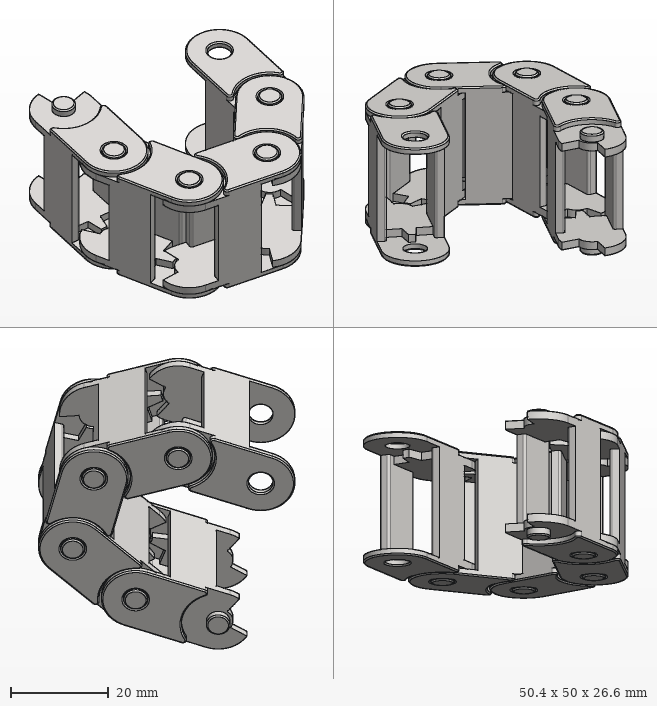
import cadquery as cq
import math


row_spacing = 36.0
pitch = row_spacing / 2
turn_angles = [36.87, 59.7, 59.43, 24.0]

clear_width = 20.0
inner_plate_thickness = 1.7
outer_plate_thickness = 1.3
pin_protrusion = 0.275
inner_plate_bottom = clear_width / 2
inner_plate_top = inner_plate_bottom + inner_plate_thickness
outer_plate_top = inner_plate_top + outer_plate_thickness
pin_top = outer_plate_top + pin_protrusion

end_radius = 7.0
edge_chamfer = 0.3
seat_clearance = 0.5
seat_radius = end_radius + seat_clearance
seat_tip_fillet = 0.75

pin_radius = 2.4
hole_clearance = 0.1
hole_radius = pin_radius + hole_clearance

tooth_half_angle = 12.0
max_turn = 60.0
notch_inner_radius = 3.0
tooth_inner_radius = 3.5
shoulder_clearance = 0.05
shoulder_distance = end_radius + shoulder_clearance

wall_length = 9.95
wall_thickness = 2.0
wall_pin_distance = 3.0
wall_fillet = 0.5


def polar(radius, angle):
    """Point at a radius and an angle in degrees around the origin."""
    return radius * math.cos(math.radians(angle)), radius * math.sin(math.radians(angle))


def ring_sector(inner_radius, outer_radius, start_angle, end_angle):
    """Inner-plate-high piece of a ring around the Z axis."""
    middle_angle = (start_angle + end_angle) / 2
    return (
        cq.Workplane("XY", origin=(0, 0, inner_plate_bottom))
        .moveTo(*polar(inner_radius, start_angle))
        .lineTo(*polar(outer_radius, start_angle))
        .threePointArc(polar(outer_radius, middle_angle), polar(outer_radius, end_angle))
        .lineTo(*polar(inner_radius, end_angle))
        .threePointArc(polar(inner_radius, middle_angle), polar(inner_radius, start_angle))
        .close()
        .extrude(inner_plate_thickness)
    )


def make_inner_plate():
    """Upper inner plate: round and notched at the pin, straight with a tooth at the hole."""
    base = cq.Workplane("XY", origin=(0, 0, inner_plate_bottom))
    straight_length = pitch - shoulder_distance
    plate = base.center(-straight_length / 2, 0).rect(straight_length, 2 * end_radius)
    plate = plate.extrude(inner_plate_thickness)
    plate = plate.union(base.circle(end_radius).extrude(inner_plate_thickness))

    notch_outer_radius = 2 * end_radius
    notch_start = -max_turn - tooth_half_angle
    notch = ring_sector(notch_inner_radius, notch_outer_radius, notch_start, tooth_half_angle)

    tooth_root_radius = shoulder_distance + wall_thickness
    tooth = ring_sector(tooth_inner_radius, tooth_root_radius, -tooth_half_angle, tooth_half_angle)
    return plate.cut(notch).union(tooth.translate((-pitch, 0, 0)))


def make_outer_plate():
    """Upper outer plate: round with the hole at one end, concave around the pin at the other."""
    base = cq.Workplane("XY", origin=(0, 0, inner_plate_top))
    plate = base.center(-pitch / 2, 0).rect(pitch, 2 * end_radius).extrude(outer_plate_thickness)
    plate = plate.union(base.center(-pitch, 0).circle(end_radius).extrude(outer_plate_thickness))
    plate = plate.cut(base.circle(seat_radius).extrude(outer_plate_thickness))
    plate = plate.edges("|Z and >X").fillet(seat_tip_fillet)
    plate = plate.cut(base.center(-pitch, 0).circle(hole_radius).extrude(outer_plate_thickness))
    return plate.faces(">Z").edges().chamfer(edge_chamfer)


def make_pin():
    """Upper hinge pin, standing on the inner plate."""
    base = cq.Workplane("XY", origin=(0, 0, inner_plate_top))
    pin = base.circle(pin_radius).extrude(pin_top - inner_plate_top)
    return pin.faces(">Z").chamfer(edge_chamfer)


def make_wall():
    """Side wall on the +Y side, flush with the plates, its inner upright edges rounded."""
    wall = cq.Workplane("XY").box(wall_length, wall_thickness, 2 * inner_plate_top)
    wall = wall.edges("|Z and <Y").fillet(wall_fillet)
    return wall.translate((-wall_pin_distance - wall_length / 2, end_radius - wall_thickness / 2, 0))


def make_link():
    """One complete link in its own frame."""
    upper_side = make_inner_plate().union(make_outer_plate()).union(make_pin())
    wall = make_wall()
    link = upper_side.union(upper_side.mirror("XY"))
    return link.union(wall).union(wall.mirror("XZ"))


def place_links():
    """Chain the links pin to hole, the first hole on the origin and the first link along +X."""
    link = make_link()
    links = []
    heading = 0.0
    hole_x = 0.0
    hole_y = 0.0
    for turn in [0.0] + turn_angles:
        heading -= turn
        step_x, step_y = polar(pitch, heading)
        pin_x = hole_x + step_x
        pin_y = hole_y + step_y
        turned_link = link.rotate((0, 0, 0), (0, 0, 1), heading)
        links.append(turned_link.translate((pin_x, pin_y, 0)))
        hole_x = pin_x
        hole_y = pin_y
    return links


links = place_links()
result = cq.Compound.makeCompound([link.val() for link in links])